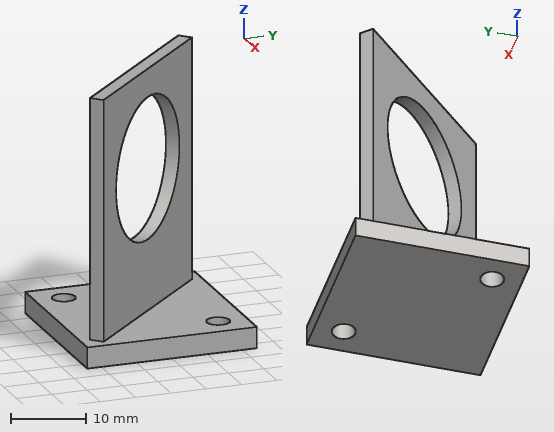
import cadquery as cq

base_side = 24.0
base_thickness = 3.0

total_height = 37.0
plate_width = 28.0
plate_thickness = 2.0
plate_angle = -45.0

window_diameter = 20.0
window_center_height = 23.0

mount_hole_diameter = 3.2
mount_hole_offset = 8.0


def make_base():
    """Square base with one mounting hole on each side of the plate."""
    hole_centers = [(side * mount_hole_offset, side * mount_hole_offset) for side in (-1, 1)]
    return (
        cq.Workplane("XY")
        .rect(base_side, base_side)
        .pushPoints(hole_centers)
        .circle(mount_hole_diameter / 2)
        .extrude(base_thickness)
    )


def make_plate():
    """Upright plate with its window, turned onto the base diagonal."""
    plate_height = total_height - base_thickness
    plate = (
        cq.Workplane("XY")
        .workplane(offset=base_thickness)
        .rect(plate_width, plate_thickness)
        .extrude(plate_height)
    )
    window = (
        cq.Workplane("XZ", origin=(0, plate_thickness / 2, 0))
        .center(0, window_center_height)
        .circle(window_diameter / 2)
        .extrude(plate_thickness)
    )
    return plate.cut(window).rotate((0, 0, 0), (0, 0, 1), plate_angle)


result = make_base().union(make_plate())